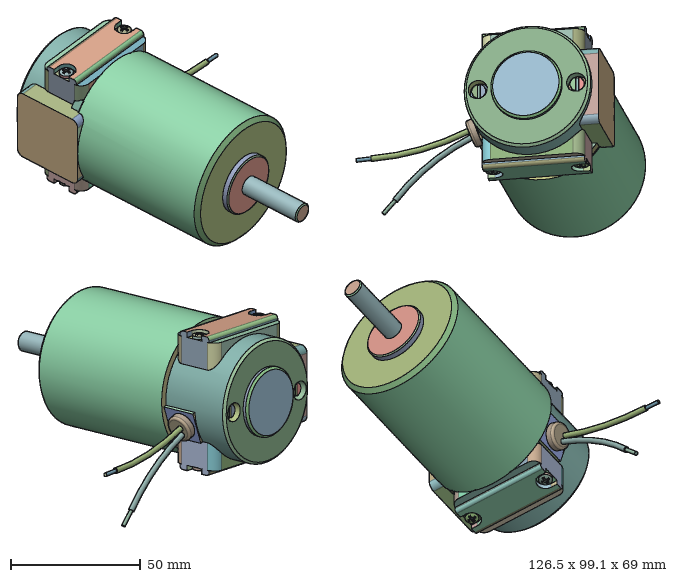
import cadquery as cq
import math


total_length = 126.5
body_dia = 55.0
body_start = 32.1
body_end = 96.5
body_front_chamfer = 1.8

bell_dia = 50.0
bell_start = 2.2
bell_chamfer = 1.0

cap_dia = 28.0
cap_chamfer = 0.9

pilot_dia = 25.0
pilot_end = 99.2
pilot_chamfer = 0.5

shaft_dia = 8.0
shaft_chamfer = 0.5

rear_screw_spacing = 38.8
rear_screw_centres = [(-rear_screw_spacing / 2, 0), (rear_screw_spacing / 2, 0)]
rear_bore_dia = 7.5
rear_bore_depth = 3.8
rear_head_dia = 5.6
rear_head_height = 1.9
rear_slot_width = 1.1
rear_slot_depth = 0.8

holder_start = 11.1
holder_width = 40.5
holder_height = 51.6
holder_corner_radius = 3.9
holder_length = body_start - holder_start
holder_mid_x = (holder_start + body_start) / 2

cover_length = 14.9
cover_top = 28.0
cover_edge_radius = 1.4

cover_screw_spacing = 34.8
cover_screw_offset = cover_screw_spacing / 2
cover_pocket_dia = 7.5
cover_head_dia = 5.5
cover_head_rim_height = 1.1
cover_head_height = 1.9
recess_span = 3.3
recess_width = 0.9
recess_depth = 1.0

collar_dia = 54.1
collar_length = 3.9
collar_height = 38.0

box_start = 5.5
box_length = 30.5
box_height = 31.0
box_corner_radius = 2.9
box_depth = 12.6

outlet_tilt = 20.0
outlet_x = 24.2
outlet_pad_start = 17.3
outlet_pad_width = 13.7
outlet_pad_face = 25.3
outlet_pad_depth = 5.0
grommet_dia = 11.0
grommet_end = 28.6
grommet_edge_radius = 1.0

wire_x = 22.6
wire_dia = 2.3
wire_core_dia = 1.5
upper_wire_path = ((26.3, -8.3), (46.4, -15.0), (65.7, -17.2), (71.6, -17.5))
lower_wire_path = ((25.3, -11.1), (44.3, -22.9), (56.3, -35.3), (61.0, -40.5))


def rod(start, end, diameter):
    """Cylinder on the shaft axis between two X stations."""
    return cq.Workplane("YZ", origin=(start, 0, 0)).circle(diameter / 2).extrude(end - start)


def make_round_body():
    cap = rod(0, bell_start, cap_dia).faces("<X").chamfer(cap_chamfer)
    bell = rod(bell_start, body_start, bell_dia).faces("<X").chamfer(bell_chamfer)
    body = rod(body_start, body_end, body_dia).faces(">X").chamfer(body_front_chamfer)
    pilot = rod(body_end, pilot_end, pilot_dia).faces(">X").chamfer(pilot_chamfer)
    shaft = rod(pilot_end, total_length, shaft_dia).faces(">X").chamfer(shaft_chamfer)
    return cap.union(bell).union(body).union(pilot).union(shaft)


def make_rear_bores():
    plane = cq.Workplane("YZ", origin=(bell_start, 0, 0))
    return plane.pushPoints(rear_screw_centres).circle(rear_bore_dia / 2).extrude(rear_bore_depth)


def make_rear_screws():
    head_face = bell_start + rear_bore_depth - rear_head_height
    plane = cq.Workplane("YZ", origin=(head_face, 0, 0)).pushPoints(rear_screw_centres)
    heads = plane.circle(rear_head_dia / 2).extrude(rear_head_height)
    slots = plane.rect(rear_slot_width, rear_head_dia).extrude(rear_slot_depth)
    return heads.cut(slots)


def make_holder_block():
    block = cq.Workplane("XY").box(holder_length, holder_width, holder_height)
    return block.edges("|Z").fillet(holder_corner_radius).translate((holder_mid_x, 0, 0))


def make_domed_head():
    """Screw head seated on Z = 0: a low cylindrical rim under a spherical crown."""
    radius = cover_head_dia / 2
    rise = cover_head_height - cover_head_rim_height
    sphere_radius = (radius ** 2 + rise ** 2) / (2 * rise)
    crown = cq.Workplane("XY").sphere(sphere_radius)
    crown = crown.translate((0, 0, cover_head_height - sphere_radius))
    return cq.Workplane("XY").circle(radius).extrude(cover_head_height).intersect(crown)


def make_cover():
    """Top cover strip with a screw sunk in an open-ended pocket at each end."""
    floor = holder_height / 2
    thickness = cover_top - floor
    plane = cq.Workplane("XY", origin=(holder_mid_x, 0, floor))
    cover = plane.rect(cover_length, holder_width).extrude(thickness)
    cover = cover.edges("|Y and >Z").fillet(cover_edge_radius)
    half_width = holder_width / 2
    for side in (-1, 1):
        screw_y = side * cover_screw_offset
        run_out = half_width - cover_screw_offset
        seat = plane.center(0, screw_y)
        pocket = seat.circle(cover_pocket_dia / 2).extrude(thickness)
        opening = seat.center(0, side * run_out / 2).rect(cover_pocket_dia, run_out).extrude(thickness)
        head = make_domed_head().translate((holder_mid_x, screw_y, floor))
        recess_plane = seat.workplane(offset=cover_head_height - recess_depth)
        for width, height in ((recess_span, recess_width), (recess_width, recess_span)):
            head = head.cut(recess_plane.rect(width, height).extrude(recess_depth))
        cover = cover.cut(pocket).cut(opening).union(head)
    return cover


def make_collar():
    collar = rod(body_start - collar_length, body_start, collar_dia)
    keep = cq.Workplane("XY").box(total_length, collar_dia, collar_height)
    return collar.intersect(keep.translate((0, -collar_dia / 2, 0)))


def make_terminal_box():
    box = cq.Workplane("XY").box(box_length, box_depth, box_height)
    box = box.edges("|Y").fillet(box_corner_radius)
    return box.translate((box_start + box_length / 2, (box_depth - body_dia) / 2, 0))


def make_outlet():
    """Flat pad and rounded grommet, built along +Y and then tilted about the shaft axis."""
    pad_length = body_start - outlet_pad_start
    pad = cq.Workplane("XY").box(pad_length, outlet_pad_depth, outlet_pad_width)
    pad = pad.translate((outlet_pad_start + pad_length / 2, outlet_pad_face - outlet_pad_depth / 2, 0))
    grommet_plane = cq.Workplane("XZ", origin=(outlet_x, outlet_pad_face, 0))
    grommet = grommet_plane.circle(grommet_dia / 2).extrude(outlet_pad_face - grommet_end)
    grommet = grommet.faces(">Y").edges().fillet(grommet_edge_radius)
    return pad.union(grommet).rotate((0, 0, 0), (1, 0, 0), -outlet_tilt)


def make_wire(root, middle, insulation_end, tip):
    plane = cq.Workplane("YZ", origin=(wire_x, 0, 0))
    path = plane.moveTo(*root).threePointArc(middle, insulation_end)
    start_tangent = path.val().tangentAt(0)
    root_plane = cq.Plane(origin=(wire_x, *root), xDir=(1, 0, 0), normal=start_tangent)
    insulation = cq.Workplane(root_plane).circle(wire_dia / 2).sweep(path)

    core_y = tip[0] - insulation_end[0]
    core_z = tip[1] - insulation_end[1]
    end_plane = cq.Plane(origin=(wire_x, *insulation_end), xDir=(1, 0, 0), normal=(0, core_y, core_z))
    core = cq.Workplane(end_plane).circle(wire_core_dia / 2).extrude(math.hypot(core_y, core_z))
    return insulation.union(core)


top_cover = make_cover()
bottom_cover = top_cover.mirror("XY")

result = make_round_body().union(make_holder_block()).union(make_collar())
result = result.union(make_terminal_box()).union(make_outlet())
result = result.union(top_cover).union(bottom_cover)
result = result.cut(make_rear_bores()).union(make_rear_screws())
for wire_path in (upper_wire_path, lower_wire_path):
    result = result.union(make_wire(*wire_path))